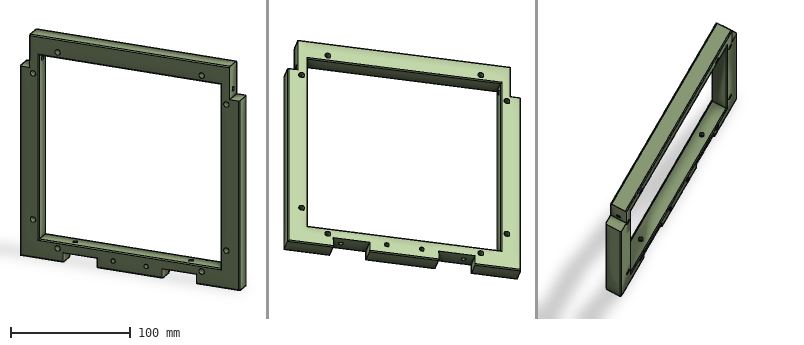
import cadquery as cq

side = 200.0
depth = 15.0
opening = 165.2
edge_chamfer = 1.0

corner_notch_width = 9.0
corner_notch_height = 29.5
bottom_notch_width = 31.2
bottom_notch_height = 8.8
bottom_notch_x = 45.2

mount_diameter = 4.8
mount_offset = 88.0
mount_half_pitch = 65.5

small_diameter = 3.8
center_half_pitch = 15.0
center_height = 8.5
cross_hole_drop = 22.5
vertical_hole_x = 52.5

half = side / 2


def chamfered_block():
    """Square block with all edges of its front and back faces bevelled."""
    return cq.Workplane("XY").box(side, depth, side).faces("<Y or >Y").chamfer(edge_chamfer)


def opening_cutter():
    """Square window that flares outward at both faces."""
    cutter = cq.Workplane("XY").box(opening, depth, opening)
    flare_size = opening + 2 * edge_chamfer
    for direction in (-1, 1):
        flare = (
            cq.Workplane("XZ", origin=(0, direction * depth / 2, 0))
            .rect(flare_size, flare_size)
            .workplane(offset=direction * edge_chamfer)
            .rect(opening, opening)
            .loft(ruled=True)
        )
        cutter = cutter.union(flare)
    return cutter


def notch(width, height, x, z):
    """Rectangular cut-out through the full depth."""
    return cq.Workplane("XY").box(width, depth, height).translate((x, 0, z))


def face_holes(points, diameter):
    """Holes along Y at the given (x, z) points."""
    return (
        cq.Workplane("XZ")
        .pushPoints(points)
        .circle(diameter / 2)
        .extrude(depth, both=True)
    )


frame = chamfered_block().cut(opening_cutter())

for sign in (-1, 1):
    corner_x = sign * (half - corner_notch_width / 2)
    corner_z = half - corner_notch_height / 2
    frame = frame.cut(notch(corner_notch_width, corner_notch_height, corner_x, corner_z))
    bottom_z = -half + bottom_notch_height / 2
    frame = frame.cut(notch(bottom_notch_width, bottom_notch_height, sign * bottom_notch_x, bottom_z))

mount_points = []
for a in (-mount_offset, mount_offset):
    for b in (-mount_half_pitch, mount_half_pitch):
        mount_points.append((a, b))
        mount_points.append((b, a))
frame = frame.cut(face_holes(mount_points, mount_diameter))

center_z = -half + center_height
center_points = [(-center_half_pitch, center_z), (center_half_pitch, center_z)]
frame = frame.cut(face_holes(center_points, small_diameter))

cross_hole = (
    cq.Workplane("YZ")
    .center(0, half - cross_hole_drop)
    .circle(small_diameter / 2)
    .extrude(half, both=True)
)
frame = frame.cut(cross_hole)

vertical_holes = (
    cq.Workplane("XY")
    .pushPoints([(-vertical_hole_x, 0), (vertical_hole_x, 0)])
    .circle(small_diameter / 2)
    .extrude(-half)
)
result = frame.cut(vertical_holes)